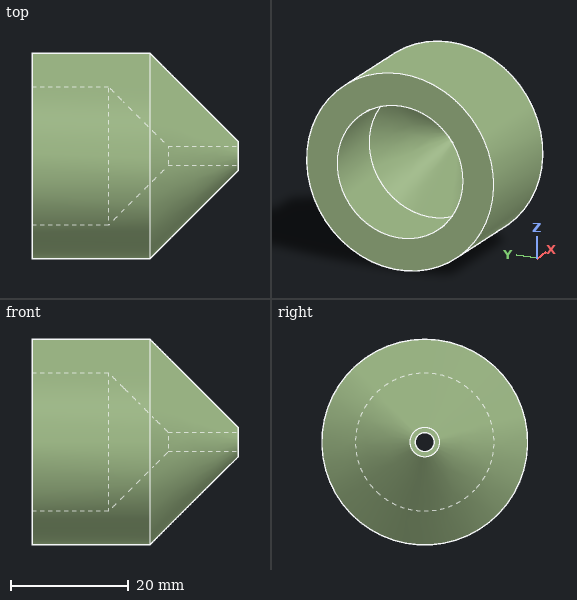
import cadquery as cq

total_length = 35.0
outer_diameter = 35.0
tip_diameter = 5.0
bore_diameter = 23.52
bore_depth = 13.0
orifice_diameter = 3.2

outer_radius = outer_diameter / 2
tip_radius = tip_diameter / 2
bore_radius = bore_diameter / 2
orifice_radius = orifice_diameter / 2

barrel_length = total_length - (outer_radius - tip_radius)
inner_cone_end = bore_depth + (bore_radius - orifice_radius)

half_section = (
    cq.Workplane("XZ")
    .moveTo(0, bore_radius)
    .lineTo(0, outer_radius)
    .lineTo(barrel_length, outer_radius)
    .lineTo(total_length, tip_radius)
    .lineTo(total_length, orifice_radius)
    .lineTo(inner_cone_end, orifice_radius)
    .lineTo(bore_depth, bore_radius)
    .close()
)

result = half_section.revolve(360, (0, 0, 0), (1, 0, 0))